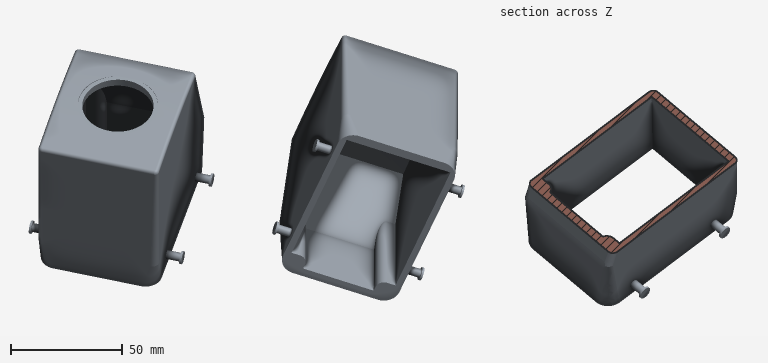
import cadquery as cq
import math

BODY_WIDTH = 56.0
BODY_LENGTH = 82.0
BODY_HEIGHT = 77.0
WALL = 4.0
SIDE_WALL = 3.0
END_DRAFT = math.tan(math.radians(0.75))

BEND_Z = 31.0
BEND_RADIUS = 11.0
ROOF_BACK_Y = 24.0
ROOF_BACK_Z = 75.5
ROOF_FRONT_Z = 75.0
ROOF_PEAK_Y = -6.0

EDGE_RADIUS = 1.6
ROOF_CORNER_RADIUS = 1.7
BEND_CORNER_RADIUS = 3.0
FLARE_Z = 14.0
FLARE_CORNER_RADIUS = 3.2
FOOT_CORNER_RADIUS = 7.5
CUTTER_MARGIN = 2.0

ENTRY_Y = -6.0
ENTRY_DIAMETER = 32.0
SEAT_DIAMETER = 36.0
SEAT_DEPTH = 0.5

PIN_SPAN = 71.0
PIN_DIAMETER = 4.0
PIN_HEAD_DIAMETER = 6.0
PIN_HEAD_THICKNESS = 1.0
PIN_SPACING = 49.5
PIN_Z = 6.2

POST_WIDTH = 8.0
POST_FACE_Y = 30.7
POST_RADIUS = 4.0

INNER_HALF_WIDTH = BODY_WIDTH / 2 - SIDE_WALL


def end_y(z):
    """Distance of a drafted end wall from the middle at height z."""
    return BODY_LENGTH / 2 - z * END_DRAFT


def back_y(z):
    """Back face position at height z, upright below the bend and sloping above."""
    if z <= BEND_Z:
        return end_y(z)
    rise = (z - BEND_Z) / (ROOF_BACK_Z - BEND_Z)
    return end_y(BEND_Z) + rise * (ROOF_BACK_Y - end_y(BEND_Z))


def side_prism(bottom_z, width, inset=0.0):
    """Side outline from bottom_z to the domed roof, optionally inset, extruded along X."""
    outline = (
        cq.Workplane("YZ")
        .moveTo(-end_y(bottom_z), bottom_z)
        .lineTo(end_y(bottom_z), bottom_z)
        .lineTo(end_y(BEND_Z), BEND_Z)
        .lineTo(ROOF_BACK_Y, ROOF_BACK_Z)
        .threePointArc((ROOF_PEAK_Y, BODY_HEIGHT), (-end_y(ROOF_FRONT_Z), ROOF_FRONT_Z))
        .close()
    )
    if inset:
        outline = outline.offset2D(-inset, "intersection")
    return outline.extrude(width / 2, both=True)


def corner_section(side, end, y, z, radius):
    """Horizontal wire around the waste outside a rounded corner at (side * half width, y)."""
    x = side * BODY_WIDTH / 2
    center_x = x - side * radius
    center_y = y - end * radius
    diagonal = radius * math.sqrt(0.5)
    outer_x = x + side * CUTTER_MARGIN
    outer_y = y + end * CUTTER_MARGIN
    return (
        cq.Workplane("XY", origin=(0, 0, z))
        .moveTo(x, center_y)
        .threePointArc((center_x + side * diagonal, center_y + end * diagonal), (center_x, y))
        .lineTo(center_x, outer_y)
        .lineTo(outer_x, outer_y)
        .lineTo(outer_x, center_y)
        .close()
        .val()
    )


def corner_cutter(side, end, levels):
    """Waste along one upright corner; levels are (height, corner radius) pairs."""
    sections = []
    for z, radius in levels:
        y = back_y(z) if end > 0 else -end_y(z)
        sections.append(corner_section(side, end, y, z, radius))
    return cq.Workplane(cq.Solid.makeLoft(sections, True))


def make_shell():
    body = side_prism(0, BODY_WIDTH)
    bend_edge = cq.selectors.NearestToPointSelector((0, end_y(BEND_Z), BEND_Z))
    body = body.edges(bend_edge).fillet(BEND_RADIUS)
    foot = (0, FOOT_CORNER_RADIUS)
    flare = (FLARE_Z, FLARE_CORNER_RADIUS)
    bend = (BEND_Z, BEND_CORNER_RADIUS)
    above_roof = (BODY_HEIGHT + CUTTER_MARGIN, ROOF_CORNER_RADIUS)
    for side in (-1, 1):
        body = body.cut(corner_cutter(side, -1, [foot, flare, above_roof]))
        body = body.cut(corner_cutter(side, 1, [foot, bend, above_roof]))
    return body.faces(">Z").edges().fillet(EDGE_RADIUS)


def make_cavity():
    """Inner space, open at the foot, with the corner posts left standing."""
    cavity = side_prism(-WALL, 2 * INNER_HALF_WIDTH, WALL)
    depth = BODY_LENGTH / 2 - POST_FACE_Y
    for side in (-1, 1):
        post = (
            cq.Workplane("XY")
            .center(side * (INNER_HALF_WIDTH - POST_WIDTH / 2), POST_FACE_Y + depth / 2)
            .rect(POST_WIDTH, depth)
            .extrude(BODY_HEIGHT)
        )
        free_edge = cq.selectors.NearestToPointSelector(
            (side * (INNER_HALF_WIDTH - POST_WIDTH), POST_FACE_Y, BODY_HEIGHT / 2)
        )
        cavity = cavity.cut(post.edges(free_edge).fillet(POST_RADIUS))
    return cavity


def cut_cable_entry(body):
    seat_z = BODY_HEIGHT - SEAT_DEPTH
    seat = cq.Workplane("XY", origin=(0, ENTRY_Y, seat_z)).circle(SEAT_DIAMETER / 2).extrude(WALL)
    bore = (
        cq.Workplane("XY", origin=(0, ENTRY_Y, BODY_HEIGHT))
        .circle(ENTRY_DIAMETER / 2)
        .extrude(-2 * WALL)
    )
    return body.cut(seat).cut(bore)


def make_pin(side, y):
    """Headed pin running outward along X from the inner side wall face."""
    shank_length = PIN_SPAN / 2 - INNER_HALF_WIDTH
    plane = cq.Plane(origin=(side * INNER_HALF_WIDTH, y, PIN_Z), xDir=(0, 1, 0), normal=(side, 0, 0))
    shank = cq.Workplane(plane).circle(PIN_DIAMETER / 2).extrude(shank_length)
    head = (
        cq.Workplane(plane)
        .workplane(offset=shank_length - PIN_HEAD_THICKNESS)
        .circle(PIN_HEAD_DIAMETER / 2)
        .extrude(PIN_HEAD_THICKNESS)
    )
    return shank.union(head)


hood = cut_cable_entry(make_shell().cut(make_cavity()))
for pin_side in (-1, 1):
    for pin_y in (-PIN_SPACING / 2, PIN_SPACING / 2):
        hood = hood.union(make_pin(pin_side, pin_y))

result = hood